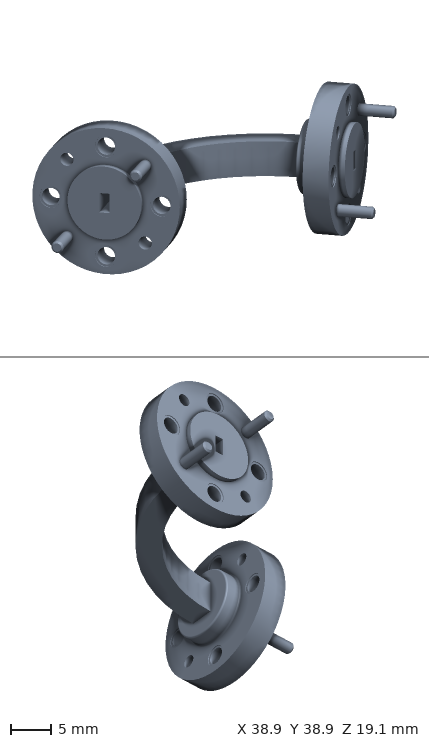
import cadquery as cq
import math


overall_length = 38.85
flange_diameter = 19.05
flange_thickness = 3.35
boss_diameter = 9.52
mating_boss_height = 0.8
rear_boss_height = 2.2
boss_edge_radius = 0.25

pitch_radius = 7.15
screw_hole_diameter = 2.25
counterbore_diameter = 2.85
counterbore_depth = 0.1
pin_hole_diameter = 1.7
pin_diameter = 1.55
pin_protrusion = 4.7
pin_chamfer = 0.25

bore_width = 1.3
bore_height = 2.53
wall = 1.0
tube_width = bore_width + 2 * wall
tube_height = bore_height + 2 * wall

bend_radius = (
    overall_length - flange_diameter / 2 - rear_boss_height - flange_thickness - pin_protrusion
)

mating_face = -flange_thickness
mating_boss_end = mating_face - mating_boss_height


def pitch_points(angles):
    """Points on the pitch circle at the given angles in degrees."""
    return [
        (pitch_radius * math.cos(math.radians(a)), pitch_radius * math.sin(math.radians(a)))
        for a in angles
    ]


def flange_body():
    """Flange disc and bosses on the Z axis, back of the disc at Z = 0, mating face down."""
    flange_radius = flange_diameter / 2
    boss_radius = boss_diameter / 2
    r = boss_edge_radius
    arc_offset = r * math.sqrt(0.5)
    root_center = (boss_radius + r, r)
    edge_center = (boss_radius - r, rear_boss_height - r)
    profile = (
        cq.Workplane("XZ")
        .moveTo(0, mating_boss_end)
        .lineTo(boss_radius, mating_boss_end)
        .lineTo(boss_radius, mating_face)
        .lineTo(flange_radius, mating_face)
        .lineTo(flange_radius, 0)
        .lineTo(boss_radius + r, 0)
        .threePointArc((root_center[0] - arc_offset, root_center[1] - arc_offset), (boss_radius, r))
        .lineTo(boss_radius, rear_boss_height - r)
        .threePointArc(
            (edge_center[0] + arc_offset, edge_center[1] + arc_offset),
            (boss_radius - r, rear_boss_height),
        )
        .lineTo(0, rear_boss_height)
        .close()
    )
    return profile.revolve(360, (0, 0, 0), (0, 1, 0))


def flange():
    """Complete flange with screw holes, pin holes and alignment pins."""
    screw_points = pitch_points([0, 90, 180, 270])
    pin_points = pitch_points([135, 315])
    pin_hole_points = pitch_points([45, 225])

    screw_holes = (
        cq.Workplane("XY").pushPoints(screw_points).circle(screw_hole_diameter / 2).extrude(mating_face)
    )
    pin_holes = (
        cq.Workplane("XY").pushPoints(pin_hole_points).circle(pin_hole_diameter / 2).extrude(mating_face)
    )
    body = flange_body().cut(screw_holes).cut(pin_holes)

    for counterbore_start in (-counterbore_depth, mating_face):
        counterbores = (
            cq.Workplane("XY", origin=(0, 0, counterbore_start))
            .pushPoints(screw_points)
            .circle(counterbore_diameter / 2)
            .extrude(counterbore_depth)
        )
        body = body.cut(counterbores)

    seat = mating_face / 2
    pins = (
        cq.Workplane("XY", origin=(0, 0, seat))
        .pushPoints(pin_points)
        .circle(pin_diameter / 2)
        .extrude(seat - pin_protrusion)
        .faces("<Z")
        .chamfer(pin_chamfer)
    )
    return body.union(pins)


def bend(width, height):
    """Quarter turn of a rectangular section, from the origin along +Y round to +X."""
    return (
        cq.Workplane("XZ")
        .rect(width, height)
        .revolve(90, (bend_radius, 0.4, 0), (bend_radius, -0.4, 0))
    )


first_flange = flange().rotate((0, 0, 0), (1, 0, 0), -90).translate((0, -rear_boss_height, 0))
second_flange = first_flange.rotate((0, 0, 0), (0, 0, 1), 90).translate((bend_radius, bend_radius, 0))

straight_length = rear_boss_height - mating_boss_end
first_bore = cq.Workplane("XZ").rect(bore_width, bore_height).extrude(straight_length)
second_bore = (
    cq.Workplane("YZ", origin=(bend_radius, bend_radius, 0))
    .rect(bore_width, bore_height)
    .extrude(straight_length)
)

result = (
    bend(tube_width, tube_height)
    .union(first_flange)
    .union(second_flange)
    .cut(first_bore)
    .cut(bend(bore_width, bore_height))
    .cut(second_bore)
)